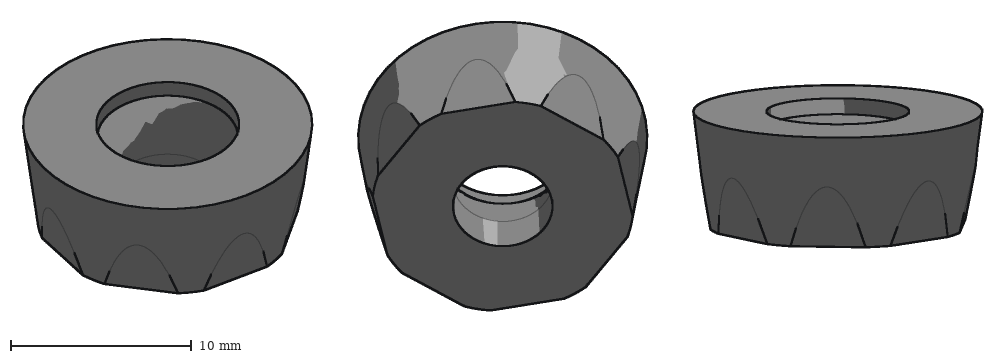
import cadquery as cq
import math

top_radius = 8.0
height = 6.35
clearance_angle = 7.0
bottom_radius = top_radius - height * math.tan(math.radians(clearance_angle))

bore_radius = 5.5 / 2
mouth_radius = 3.95
throat_top_radius = 3.89
mouth_depth = 0.88
throat_curve_radius = 5.0

flat_count = 8
flat_distance = 6.9
flat_angle = 11.9


def make_body():
    return (
        cq.Workplane("XZ")
        .lineTo(bottom_radius, 0)
        .lineTo(top_radius, height)
        .lineTo(0, height)
        .close()
        .revolve(360, (0, 0), (0, 1))
    )


def make_screw_hole():
    sweep = math.acos(1 - (throat_top_radius - bore_radius) / throat_curve_radius)
    throat_top = height - mouth_depth
    throat_bottom = throat_top - throat_curve_radius * math.sin(sweep)
    arc_middle = (
        bore_radius + throat_curve_radius * (1 - math.cos(sweep / 2)),
        throat_bottom + throat_curve_radius * math.sin(sweep / 2),
    )
    return (
        cq.Workplane("XZ")
        .lineTo(bore_radius, 0)
        .lineTo(bore_radius, throat_bottom)
        .threePointArc(arc_middle, (throat_top_radius, throat_top))
        .lineTo(mouth_radius, height)
        .lineTo(0, height)
        .close()
        .revolve(360, (0, 0), (0, 1))
    )


def make_flat_cutter():
    flat_top_distance = flat_distance + height * math.tan(math.radians(flat_angle))
    outer_distance = 2 * top_radius
    return (
        cq.Workplane("XZ")
        .moveTo(flat_distance, 0)
        .lineTo(outer_distance, 0)
        .lineTo(outer_distance, height)
        .lineTo(flat_top_distance, height)
        .close()
        .extrude(top_radius, both=True)
    )


result = make_body().cut(make_screw_hole())
flat_cutter = make_flat_cutter()
for index in range(flat_count):
    turn = index * 360 / flat_count
    result = result.cut(flat_cutter.rotate((0, 0, 0), (0, 0, 1), turn))